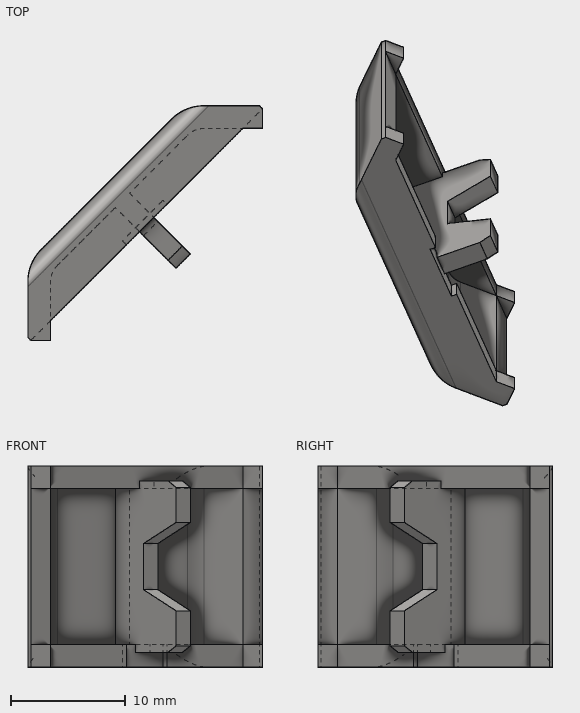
import cadquery as cq
import math

span = 20.5
height = 17.6
wall = 1.99
corner = 6.79
bend_radius = 4.0
side_radius = 1.48
tip_chamfer = 0.29
rim_offset = 0.25

tab_thickness = 1.76
tab_reach = 4.51
tab_half_height = 7.49
tab_tip_length = 0.98
tab_tip_inset = 0.57
mouth_half = 3.85
floor_half = 2.0
mouth_depth = 4.02

slot_width = 5.0
slot_depth = 0.5

middle = height / 2
diagonal = math.sqrt(2)
face_depth = (corner + rim_offset) / diagonal
floor_depth = face_depth - wall
length = span * 2 * diagonal

rim_plane = cq.Plane(
    origin=((span + rim_offset) / 2, (span - rim_offset) / 2, middle),
    xDir=(1, -1, 0),
    normal=(-1, -1, 0),
)


def slanted_box(start, end, low, high, width):
    """Box centred along the slant; start and end are distances out from the rim."""
    return (
        cq.Workplane(rim_plane)
        .moveTo((start + end) / 2, (low + high) / 2)
        .rect(end - start, high - low)
        .extrude(width / 2, both=True)
    )


def bent_prism(inset, radius, bottom, top):
    """Filled bend whose outer faces are inset from the part's outer faces."""
    half_turn = math.pi / 8
    near = corner - inset * math.tan(half_turn)
    tangent = radius * math.tan(half_turn)
    slant = tangent / diagonal
    bisector = radius / math.cos(half_turn) - radius
    shift_in = bisector * math.cos(half_turn)
    shift_down = bisector * math.sin(half_turn)
    return (
        cq.Workplane("XY", origin=(0, 0, bottom))
        .moveTo(inset, 0)
        .lineTo(inset, near - tangent)
        .threePointArc((inset + shift_in, near - shift_down), (inset + slant, near + slant))
        .lineTo(span - near - slant, span - inset - slant)
        .threePointArc(
            (span - near + shift_down, span - inset - shift_in),
            (span - near + tangent, span - inset),
        )
        .lineTo(span, span - inset)
        .lineTo(span, 0)
        .close()
        .extrude(top - bottom)
    )


def make_body():
    """Rounded bend, solid between its outer faces and the rim, with square leg tips."""
    open_side = (
        cq.Workplane("XY")
        .polyline([
            (wall, 0),
            (wall, wall - rim_offset),
            (span - wall + rim_offset, span - wall),
            (span, span - wall),
            (span, 0),
        ])
        .close()
        .extrude(height)
    )
    body = bent_prism(0, bend_radius, 0, height).cut(open_side)
    for tip in ((0, 0, middle), (span, span, middle)):
        body = body.edges(cq.selectors.NearestToPointSelector(tip)).chamfer(tip_chamfer)
    envelope = slanted_box(-face_depth, span, -middle, middle, length)
    for edge_height in (-middle, middle):
        edge_centre = rim_plane.toWorldCoords((-face_depth, edge_height, 0)).toTuple()
        envelope = envelope.edges(cq.selectors.NearestToPointSelector(edge_centre)).fillet(side_radius)
    return body.intersect(envelope)


def make_tab():
    """Forked tab standing on the pocket floor."""
    upper = [
        (-floor_depth, tab_half_height),
        (tab_reach - tab_tip_length, tab_half_height),
        (tab_reach, tab_half_height - tab_tip_inset),
        (tab_reach, mouth_half),
        (tab_reach - mouth_depth, floor_half),
    ]
    lower = [(out, -up) for out, up in reversed(upper)]
    return (
        cq.Workplane(rim_plane)
        .polyline(upper + lower)
        .close()
        .extrude(tab_thickness / 2, both=True)
    )


pocket = bent_prism(wall, bend_radius - wall, wall, height - wall)
slot = slanted_box(-slot_depth, slot_depth, -middle, wall - middle, slot_width)
tip_trim = slanted_box(0, span, wall - middle, middle - wall, length)
result = make_body().cut(pocket).cut(slot).cut(tip_trim).union(make_tab())